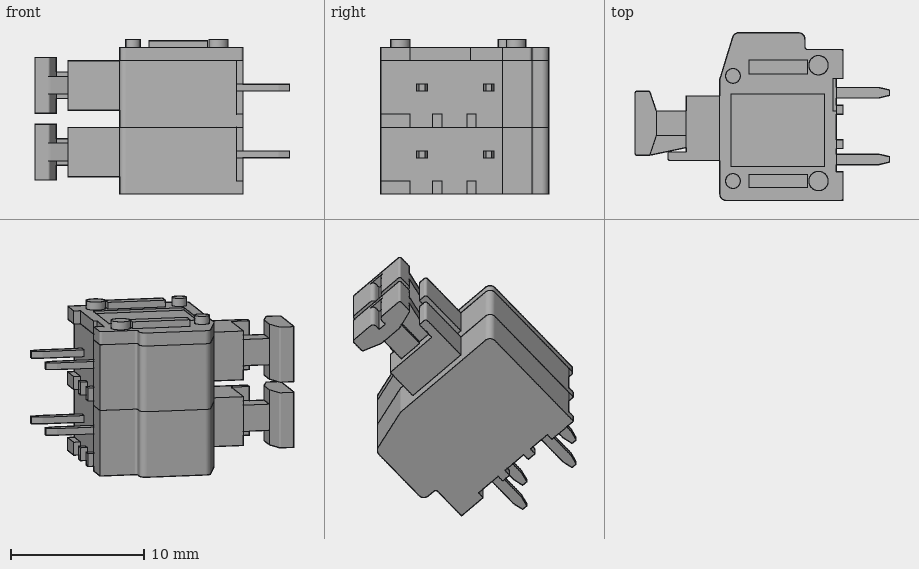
import cadquery as cq


module_count = 2
pitch = 5.0
plate_height = 1.0

block_length = 9.25
block_width = 12.6
wall_radius = 0.5
slant_start_y = 9.1
slant_end_x = 1.07
shoulder_x = 6.4
shoulder_y = 11.34
small_radius = 0.2

recess_depth = 0.52
recess_floor_x = block_length - recess_depth
recess_low_y = 2.18
recess_high_y = 9.15

rib_width = 0.69
rib_centers_y = (4.24, 6.82)

pin_end_x = 12.73
pin_width = 0.8
pin_thickness = 0.52
pin_tip_width = 0.42
pin_tip_length = 0.8
pin_center_z = 2.98
pin_centers_y = (3.1, 3.1 + pitch)

guide_front_x = -2.52
guide_low_y = 3.0
guide_high_y = 7.87
guide_low_z = 1.28
lip_front_x = -3.9
lip_top_y = 3.67

overall_length = 19.09
lever_front_x = pin_end_x - overall_length
lever_shoulder_x = -5.25
lever_back_x = -4.75
lever_low_y = 3.4
lever_high_y = 8.2
lever_low_z = 1.05
lever_height = 4.2
lever_radius = 0.15

stem_low_y = 4.89
stem_high_y = 6.74
stem_height = 2.0
wedge_height = 1.34
wedge_end_y = 3.97
wedge_radius = 0.95
lever_center_z = lever_low_z + lever_height / 2

groove_center_y = 5.78
groove_width = 0.61
groove_depth = 0.65
groove_edge_radius = 0.3
groove_roof = 0.52

label_low_x, label_high_x = 0.85, 7.85
label_low_y, label_high_y = 2.58, 8.0
label_depth = 0.2
notch_depth = 0.27
notch_low_y = 6.72
boss_height = 0.61
front_boss_radius = 0.55
rear_boss_radius = 0.73
front_boss_x = 1.0
rear_boss_x = 7.4
low_boss_y = 1.47
front_boss_high_y = 9.35
rear_boss_high_y = 10.15
bar_low_x, bar_high_x = 2.18, 6.59
bar_height = 0.52
bar_ranges_y = ((0.97, 1.97), (9.49, 10.54))


def box(x_range, y_range, z_range):
    """A box spanning the given (low, high) pairs."""
    sizes = [high - low for low, high in (x_range, y_range, z_range)]
    corner = (x_range[0], y_range[0], z_range[0])
    return cq.Workplane("XY").box(*sizes, centered=False).translate(corner)


def plate(height):
    """A slab with the block's outline, its two feet reaching past the recess in the back."""
    outline = [
        (0, 0),
        (block_length, 0),
        (block_length, recess_low_y),
        (recess_floor_x, recess_low_y),
        (recess_floor_x, recess_high_y),
        (block_length, recess_high_y),
        (block_length, shoulder_y),
        (shoulder_x, shoulder_y),
        (shoulder_x, block_width),
        (slant_end_x, block_width),
        (0, slant_start_y),
    ]
    slab = cq.Workplane("XY").polyline(outline).close().extrude(height)
    for corner in ((0, 0), (shoulder_x, block_width), (slant_end_x, block_width)):
        slab = round_corner(slab, corner, wall_radius)
    return round_corner(slab, (shoulder_x, shoulder_y), small_radius)


def round_corner(slab, corner, radius):
    """Fillet the upright edge at one corner of a slab."""
    return slab.edges("|Z").edges(cq.selectors.NearestToPointSelector((*corner, 0))).fillet(radius)


def pin(center_y):
    """A flat contact pin with a tapered tip."""
    taper_x = pin_end_x - pin_tip_length
    outline = [
        (recess_floor_x, center_y - pin_width / 2),
        (taper_x, center_y - pin_width / 2),
        (pin_end_x, center_y - pin_tip_width / 2),
        (pin_end_x, center_y + pin_tip_width / 2),
        (taper_x, center_y + pin_width / 2),
        (recess_floor_x, center_y + pin_width / 2),
    ]
    bottom_z = pin_center_z - pin_thickness / 2
    return cq.Workplane("XY").workplane(offset=bottom_z).polyline(outline).close().extrude(pin_thickness)


def guide():
    """The L-shaped block on the front wall, with a lip under the lever."""
    outline = [
        (0, guide_low_y),
        (0, guide_high_y),
        (guide_front_x, guide_high_y),
        (guide_front_x, lip_top_y),
        (lip_front_x, lip_top_y),
        (lip_front_x, guide_low_y),
    ]
    body = cq.Workplane("XY").workplane(offset=guide_low_z).polyline(outline).close()
    body = body.extrude(pitch - guide_low_z)
    return round_corner(body, (lip_front_x, guide_low_y), small_radius)


def module():
    """One module: a body whose low foot is only a plate high, with ribs, pins and the lever guide."""
    body = plate(pitch)
    back_range_x = (recess_floor_x, block_length)
    body = body.cut(box(back_range_x, (0, recess_low_y), (plate_height, pitch)))
    for center_y in rib_centers_y:
        rib_range_y = (center_y - rib_width / 2, center_y + rib_width / 2)
        body = body.union(box(back_range_x, rib_range_y, (0, plate_height)))
    for center_y in pin_centers_y:
        body = body.union(pin(center_y))
    return body.union(guide())


def groove():
    """The cutter for the lever's front groove, whose mouth flares in two rounded edges."""
    half_width = groove_width / 2
    half_mouth = half_width + groove_edge_radius
    throat_x = lever_front_x + groove_edge_radius
    floor_x = lever_front_x + groove_depth
    profile = (
        cq.Workplane("XY")
        .workplane(offset=lever_low_z)
        .moveTo(lever_front_x, groove_center_y - half_mouth)
        .radiusArc((throat_x, groove_center_y - half_width), groove_edge_radius)
        .lineTo(floor_x, groove_center_y - half_width)
        .lineTo(floor_x, groove_center_y + half_width)
        .lineTo(throat_x, groove_center_y + half_width)
        .radiusArc((lever_front_x, groove_center_y + half_mouth), groove_edge_radius)
        .close()
    )
    return profile.extrude(lever_height - groove_roof)


def lever():
    """A push lever: a grooved head on a stem, braced by a wedge that narrows toward the guide."""
    head_outline = [
        (lever_front_x, lever_low_y),
        (lever_shoulder_x, lever_low_y),
        (lever_back_x, stem_low_y),
        (lever_back_x, stem_high_y),
        (lever_shoulder_x, lever_high_y),
        (lever_front_x, lever_high_y),
    ]
    head = cq.Workplane("XY").workplane(offset=lever_low_z).polyline(head_outline).close()
    head = head.extrude(lever_height)
    for corner_x in (lever_front_x, lever_shoulder_x):
        for corner_y in (lever_low_y, lever_high_y):
            head = round_corner(head, (corner_x, corner_y), lever_radius)

    stem_range_z = (lever_center_z - stem_height / 2, lever_center_z + stem_height / 2)
    stem = box((lever_back_x, guide_front_x), (stem_low_y, stem_high_y), stem_range_z)

    wedge_outline = [
        (lever_front_x + lever_radius, lever_low_y),
        (lever_shoulder_x, lever_low_y),
        (guide_front_x, wedge_end_y),
        (guide_front_x, stem_low_y),
        (lever_front_x + lever_radius, stem_low_y),
    ]
    wedge = cq.Workplane("XY").workplane(offset=lever_center_z - wedge_height / 2)
    wedge = wedge.polyline(wedge_outline).close().extrude(wedge_height)
    wedge = round_corner(wedge, (lever_shoulder_x, lever_low_y), wedge_radius)

    return head.union(stem).union(wedge).cut(groove())


def cover():
    """The end plate, with a label recess, a notch and the bosses and bars that key the next block."""
    body = plate(plate_height)
    for corner_y in (0, shoulder_y):
        body = round_corner(body, (block_length, corner_y), small_radius)
    label_range_z = (plate_height - label_depth, plate_height)
    body = body.cut(box((label_low_x, label_high_x), (label_low_y, label_high_y), label_range_z))
    notch_range_x = (recess_floor_x - notch_depth, recess_floor_x)
    body = body.cut(box(notch_range_x, (notch_low_y, recess_high_y), (0, plate_height)))

    top = cq.Workplane("XY").workplane(offset=plate_height)
    front_bosses = [(front_boss_x, low_boss_y), (front_boss_x, front_boss_high_y)]
    rear_bosses = [(rear_boss_x, low_boss_y), (rear_boss_x, rear_boss_high_y)]
    body = body.union(top.pushPoints(front_bosses).circle(front_boss_radius).extrude(boss_height))
    body = body.union(top.pushPoints(rear_bosses).circle(rear_boss_radius).extrude(boss_height))
    for bar_range_y in bar_ranges_y:
        bar_range_z = (plate_height, plate_height + bar_height)
        body = body.union(box((bar_low_x, bar_high_x), bar_range_y, bar_range_z))
    return body


modules = []
levers = []
for level in range(module_count):
    shift = (0, 0, level * pitch)
    modules.append(module().translate(shift).val())
    levers.append(lever().translate(shift).val())
end_cover = cover().translate((0, 0, module_count * pitch))

result = cq.Compound.makeCompound([*modules, *levers, end_cover.val()])